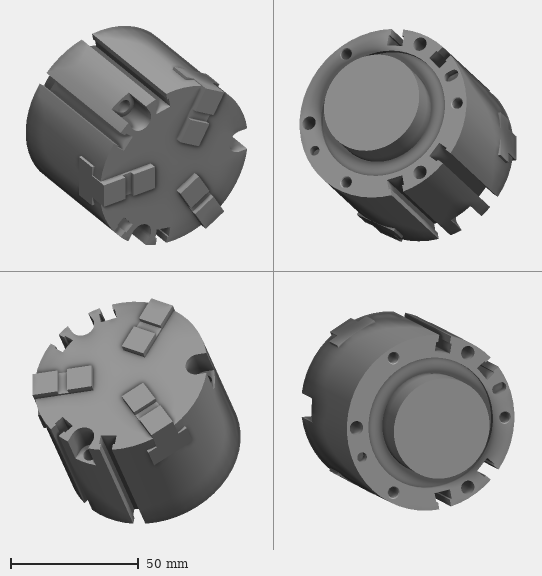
import cadquery as cq


housing_radius = 35.0
housing_length = 52.0
jaw_angles = (0, 120, 240)
bolt_angles = (60, 180, 300)
switch_slot_angles = (40, 80, 280, 320)

plunger_diameter = 40.0
plunger_projection = 12.5
plunger_neck_diameter = 20.0
recess_diameter = 52.0
recess_depth = 2.0
plunger_rear = 0.5
notch_width = 0.85
notch_depth = 0.4
notch_length = 2.7

hole_circle_radius = 31.0
bolt_hole_diameter = 5.5
counterbore_width = 9.5
counterbore_depth = 12.0
tapped_hole_diameter = 4.3
tapped_hole_mouth = 5.0
tapped_hole_depth = 10.0
dowel_diameter = 4.0
dowel_depth = 4.0
dowel_angle = 22.5
dowel_slot_length = dowel_diameter + 2.0

slot_floor_radius = 28.1
slot_lip_radius = 32.1
slot_floor_width = 6.5
slot_neck_width = 5.0

jaw_inner_radius = 11.0
jaw_outer_radius = housing_radius
jaw_base_width = 17.9
jaw_neck_width = 10.0
jaw_base_start = 37.5
jaw_shoulder = 46.5
jaw_end = housing_length + 2.95
jaw_shoulder_clearance = 0.3
key_groove_inner_radius = 20.9
key_groove_width = 4.0
key_groove_depth = 2.0

overrun = 3.5


def turned(shape, angle):
    """Turn a shape built on the -Y side to the given angle about the axis."""
    return shape.rotate((0, 0, 0), (1, 0, 0), -angle)


def radial_block(x_start, x_end, inner_radius, outer_radius, width):
    """Block on the -Y side, centred on z = 0, between two radii and two x positions."""
    return cq.Workplane("XY").box(
        x_end - x_start, outer_radius - inner_radius, width, centered=(False, False, True)
    ).translate((x_start, -outer_radius, 0))


def axial_cylinder(x_start, x_end, diameter, offset=0.0):
    """Cylinder along X, set off towards -Y by the given distance."""
    return (
        cq.Workplane("YZ", origin=(x_start, 0, 0))
        .center(-offset, 0)
        .circle(diameter / 2)
        .extrude(x_end - x_start)
    )


def jaw_tee(shoulder, end, outer_radius):
    """T-section bar along the radius: wide base inside the housing, narrow neck towards +X."""
    base = radial_block(jaw_base_start, shoulder, jaw_inner_radius, outer_radius, jaw_base_width)
    neck = radial_block(jaw_base_start, end, jaw_inner_radius, outer_radius, jaw_neck_width)
    return base.union(neck)


def jaw_guide():
    """Guide for one jaw, with clearance at the jaw shoulder and open at the rim and rear face."""
    return jaw_tee(
        jaw_shoulder + jaw_shoulder_clearance, housing_length + overrun, housing_radius + overrun
    )


def switch_slot():
    """Full-length T slot with its narrow mouth on the rim."""
    floor = radial_block(-overrun, housing_length + overrun,
                         slot_floor_radius, slot_lip_radius, slot_floor_width)
    neck = radial_block(-overrun, housing_length + overrun,
                        slot_floor_radius, housing_radius + overrun, slot_neck_width)
    return floor.union(neck)


def bolt_hole():
    """Through hole with a rear counterbore that is open towards the rim."""
    counterbore_start = housing_length - counterbore_depth
    rear = housing_length + overrun
    hole = axial_cylinder(-overrun, rear, bolt_hole_diameter, hole_circle_radius)
    counterbore = axial_cylinder(counterbore_start, rear, counterbore_width, hole_circle_radius)
    opening = radial_block(counterbore_start, rear,
                           hole_circle_radius, housing_radius + overrun, counterbore_width)
    return hole.union(counterbore).union(opening)


def tapped_hole():
    """Blind hole with a 45 degree countersunk mouth."""
    hole = axial_cylinder(0, tapped_hole_depth, tapped_hole_diameter, hole_circle_radius)
    mouth_depth = (tapped_hole_mouth - tapped_hole_diameter) / 2
    mouth = cq.Workplane(cq.Solid.makeCone(
        tapped_hole_mouth / 2, tapped_hole_diameter / 2, mouth_depth,
        cq.Vector(0, -hole_circle_radius, 0), cq.Vector(1, 0, 0),
    ))
    return hole.union(mouth)


def dowel_slot():
    """Blind round-ended slot, long in the radial direction."""
    return (
        cq.Workplane("YZ")
        .center(-hole_circle_radius, 0)
        .slot2D(dowel_slot_length, dowel_diameter)
        .extrude(dowel_depth)
    )


def make_housing():
    body = axial_cylinder(0, housing_length, 2 * housing_radius)
    body = body.cut(axial_cylinder(0, recess_depth, recess_diameter))
    for angle in jaw_angles:
        body = body.cut(turned(jaw_guide(), angle))
        body = body.cut(turned(tapped_hole(), angle))
    for angle in bolt_angles:
        body = body.cut(turned(bolt_hole(), angle))
    for angle in switch_slot_angles:
        body = body.cut(turned(switch_slot(), angle))
    dowel_hole = axial_cylinder(0, dowel_depth, dowel_diameter, hole_circle_radius)
    body = body.cut(turned(dowel_slot(), dowel_angle))
    return body.cut(turned(dowel_hole, dowel_angle + 180))


def make_plunger():
    """Round head with a V notch at its top rear edge, on a narrower neck that stands in the recess."""
    head = axial_cylinder(-plunger_projection, plunger_rear, plunger_diameter)
    neck = axial_cylinder(plunger_rear, recess_depth, plunger_neck_diameter)
    rim = plunger_diameter / 2
    notch = (
        cq.Workplane("YZ", origin=(-notch_length, 0, 0))
        .polyline([(-notch_width / 2, rim), (0, rim - notch_depth), (notch_width / 2, rim)])
        .close()
        .extrude(notch_length + plunger_rear)
    )
    return head.cut(notch).union(neck)


def make_jaw(angle):
    """Sliding jaw with a key groove across its end face."""
    jaw = jaw_tee(jaw_shoulder, jaw_end, jaw_outer_radius)
    key_groove = radial_block(
        jaw_end - key_groove_depth, jaw_end + overrun,
        key_groove_inner_radius, key_groove_inner_radius + key_groove_width,
        jaw_neck_width,
    )
    return turned(jaw.cut(key_groove), angle)


housing = make_housing()
plunger = make_plunger()
jaws = [make_jaw(angle) for angle in jaw_angles]

result = cq.Compound.makeCompound([
    housing.val(),
    plunger.val(),
    *[jaw.val() for jaw in jaws],
])